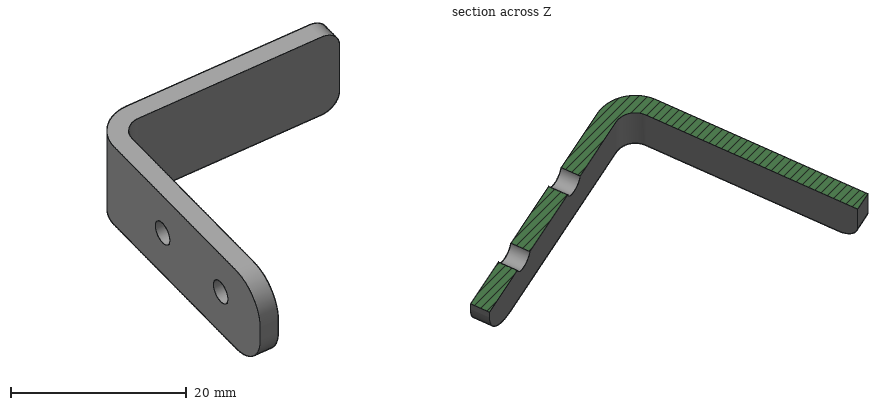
import cadquery as cq

length_x = 35.15
length_y = 32.5
height = 12.0
thickness = 2.5

bend_outer_radius = 2 * thickness
bend_inner_radius = bend_outer_radius - thickness
x_leg_end_radius = 5.0
y_leg_end_radius = 2.5

hole_diameter = 3.0
hole_spacing = height
first_hole_x = 15.0
hole_z = 6.3


def bent_strip():
    """L-shaped strip of constant thickness with a rounded bend at the origin corner."""
    return (
        cq.Workplane("XY")
        .rect(length_x, length_y, centered=False)
        .extrude(height)
        .edges("|Z and <X and <Y")
        .fillet(bend_outer_radius)
        .cut(inner_space())
    )


def inner_space():
    """Block between the two legs, rounded to the inside of the bend."""
    return (
        cq.Workplane("XY")
        .moveTo(thickness, thickness)
        .rect(length_x, length_y, centered=False)
        .extrude(height)
        .edges("|Z and <X and <Y")
        .fillet(bend_inner_radius)
    )


def screw_holes():
    """Cylinders crossing the X leg along Y."""
    centers = [(first_hole_x + i * hole_spacing, hole_z) for i in range(2)]
    return (
        cq.Workplane("XZ")
        .pushPoints(centers)
        .circle(hole_diameter / 2)
        .extrude(-thickness)
    )


bracket = bent_strip()
bracket = bracket.faces(">X").edges("|Y").fillet(x_leg_end_radius)
bracket = bracket.faces(">Y").edges("|X").fillet(y_leg_end_radius)
result = bracket.cut(screw_holes())